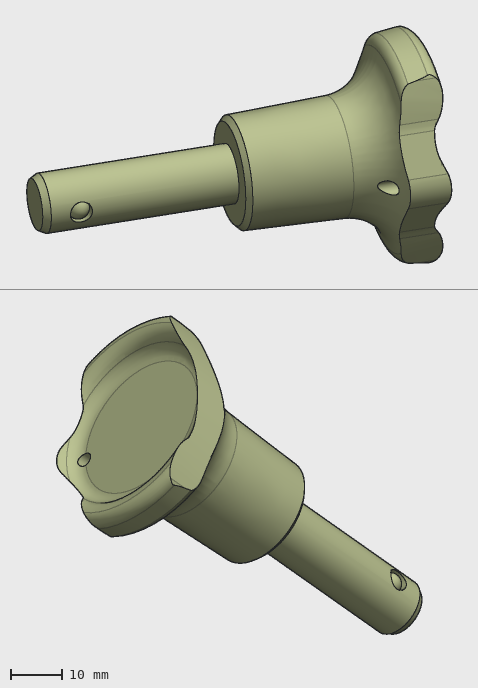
import cadquery as cq
import math


pin_length = 40.0
pin_radius = 6.0
pin_tip_radius = 5.2
pin_tip_chamfer_length = 1.5
ball_radius = 2.25
ball_to_tip = 7.7

knob_length = 40.0
neck_chamfer = 1.1
neck_end_radius = 11.5
neck_top_y = 21.6
neck_top_radius = 12.2
flank_y = 31.4
flank_outer_radius = 20.7
rim_lower_y = 33.2
rim_radius = 23.43
rim_round = 2.28
rim_draft_angle = math.radians(8.0)
rim_crest_radius = rim_radius - rim_round

dish_depth = 4.0
dish_floor_radius = 14.7

side_offset = 14.85
side_arc_radius = 50.0
outline_clearance = 0.1
grip_end_radius = rim_radius + outline_clearance
corner_round = 2.0
tab_tip_x = 19.25
tab_tip_round = 6.5
tab_edge_angle = math.radians(30.0)
tab_inner_x = 12.0
tab_root_round = 8.0
lanyard_hole_x = 14.9
lanyard_hole_diameter = 3.0


def make_pin():
    """Round pin with a tapered tip, running along -Y from halfway up the knob."""
    root_y = knob_length / 2
    return (
        cq.Workplane("XY")
        .moveTo(0, root_y)
        .lineTo(pin_radius, root_y)
        .lineTo(pin_radius, -pin_length + pin_tip_chamfer_length)
        .lineTo(pin_tip_radius, -pin_length)
        .lineTo(0, -pin_length)
        .close()
        .revolve(360, (0, 0, 0), (0, 1, 0))
    )


def make_ball_gap():
    """Space between the radial ball bore on +X and the locking ball inside it."""
    center_x = pin_radius - ball_radius
    beyond_pin_x = pin_radius + ball_radius
    arc_offset = ball_radius * math.sqrt(0.5)
    return (
        cq.Workplane("XY", origin=(0, ball_to_tip - pin_length, 0))
        .moveTo(center_x, ball_radius)
        .lineTo(beyond_pin_x, ball_radius)
        .lineTo(beyond_pin_x, 0)
        .lineTo(pin_radius, 0)
        .threePointArc((center_x + arc_offset, arc_offset), (center_x, ball_radius))
        .close()
        .revolve(360, (0, 0, 0), (1, 0, 0))
    )


def make_knob_blank():
    """Turned knob: tapered neck, flared flank, rounded rim and dished back."""
    dish_middle = ((rim_crest_radius + dish_floor_radius) / 2, knob_length - dish_depth / 2)
    rim_upper_y = knob_length - rim_round * (1 + math.sin(rim_draft_angle))
    rim_upper_radius = rim_crest_radius + rim_round * math.cos(rim_draft_angle)
    rim_lower_radius = rim_upper_radius - (rim_upper_y - rim_lower_y) * math.tan(rim_draft_angle)
    return (
        cq.Workplane("XY")
        .lineTo(neck_end_radius - neck_chamfer, 0)
        .lineTo(neck_end_radius, neck_chamfer)
        .lineTo(neck_top_radius, neck_top_y)
        .tangentArcPoint((flank_outer_radius, flank_y), relative=False)
        .tangentArcPoint((rim_lower_radius, rim_lower_y), relative=False)
        .lineTo(rim_upper_radius, rim_upper_y)
        .tangentArcPoint((rim_crest_radius, knob_length), relative=False)
        .tangentArcPoint(dish_middle, relative=False)
        .tangentArcPoint((dish_floor_radius, knob_length - dish_depth), relative=False)
        .lineTo(0, knob_length - dish_depth)
        .close()
        .revolve(360, (0, 0, 0), (0, 1, 0))
    )


def extrude_along_y(sketch):
    """Extrude an XZ outline from the shoulder to just past the back of the knob."""
    return sketch.extrude(-(knob_length + outline_clearance))


def make_grip():
    """Bar bounded by two bowed sides and an end circle just outside the rim, with rounded corners."""
    arc_center_x = side_arc_radius - side_offset
    corner_x = (side_arc_radius**2 - grip_end_radius**2 - arc_center_x**2) / (2 * arc_center_x)
    corner_z = math.sqrt(grip_end_radius**2 - corner_x**2)
    bar = extrude_along_y(
        cq.Workplane("XZ")
        .moveTo(-corner_x, -corner_z)
        .threePointArc((-side_offset, 0), (-corner_x, corner_z))
        .threePointArc((0, grip_end_radius), (corner_x, corner_z))
        .threePointArc((side_offset, 0), (corner_x, -corner_z))
        .threePointArc((0, -grip_end_radius), (-corner_x, -corner_z))
        .close()
    )
    return bar.edges("|Y").fillet(corner_round)


def make_tab():
    """Lanyard tab on +X: two straight edges narrowing to a rounded tip."""
    tip_center_x = tab_tip_x - tab_tip_round
    tangent_x = tip_center_x + tab_tip_round * math.cos(tab_edge_angle)
    tangent_z = tab_tip_round * math.sin(tab_edge_angle)
    inner_z = tangent_z + (tangent_x - tab_inner_x) / math.tan(tab_edge_angle)
    return extrude_along_y(
        cq.Workplane("XZ")
        .moveTo(0, inner_z)
        .lineTo(tab_inner_x, inner_z)
        .lineTo(tangent_x, tangent_z)
        .threePointArc((tab_tip_x, 0), (tangent_x, -tangent_z))
        .lineTo(tab_inner_x, -inner_z)
        .lineTo(0, -inner_z)
        .close()
    )


def make_outline():
    """Grip and tab joined, with hollow rounds where the tab meets the grip."""

    def is_tab_root(edge):
        center = edge.Center()
        return center.x > tab_inner_x and abs(center.z) > tab_tip_round

    joined = make_grip().union(make_tab())
    return joined.edges("|Y").filter(is_tab_root).fillet(tab_root_round)


def make_lanyard_hole():
    """Through hole in the tab, parallel to the pin."""
    return extrude_along_y(
        cq.Workplane("XZ").center(lanyard_hole_x, 0).circle(lanyard_hole_diameter / 2)
    )


def make_part():
    """Knob and pin joined, with the two locking balls set in the pin."""
    knob = make_knob_blank().intersect(make_outline()).cut(make_lanyard_hole())
    ball_gap = make_ball_gap()
    pin = make_pin().cut(ball_gap).cut(ball_gap.mirror("YZ"))
    return knob.union(pin)


result = make_part()